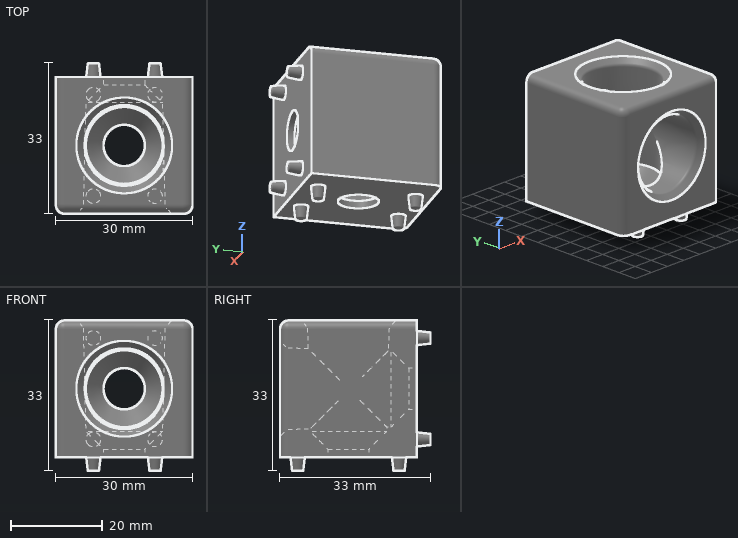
import cadquery as cq
import math

side = 30.0
half = side / 2
edge_radius = 2.0

mouth_radius = 10.5
bore_radius = 8.95
lip_radius = 1.0
throat_radius = 8.4
throat_reach = 9.35
outlet_radius = 4.5
countersink_angle = math.radians(45.5)
throat_angle = math.radians(45)

pin_length = 3.0
pin_base_radius = 1.6
pin_tip_radius = 1.25
pin_tip_rounding = 0.25
pin_half_pitch_across = 6.75
pin_half_pitch_along = 11.1


def make_body():
    """Cube rounded on the edges around the two mouth faces; the pin faces stay sharp."""
    body = cq.Workplane("XY").box(side, side, side)
    rounded = body.faces(">Z or <Y").edges("not(>Y or <Z)")
    return body.newObject(rounded.vals()).fillet(edge_radius)


def make_passage():
    """Passage cutter around Z: mouth on the top face, outlet on the bottom face."""
    bore_corner = half - (mouth_radius - bore_radius) / math.tan(countersink_angle)
    lip_tangent = lip_radius * math.tan(countersink_angle / 2)
    lip_bottom = bore_corner - lip_tangent
    lip_centre_radius = bore_radius + lip_radius

    def lip_point(angle):
        radius = lip_centre_radius - lip_radius * math.cos(angle)
        return radius, lip_bottom + lip_radius * math.sin(angle)

    throat_end = -throat_reach - (throat_radius - outlet_radius) / math.tan(throat_angle)
    profile = (
        cq.Workplane("XZ")
        .moveTo(0, half)
        .lineTo(mouth_radius, half)
        .lineTo(*lip_point(countersink_angle))
        .threePointArc(lip_point(countersink_angle / 2), lip_point(0))
        .lineTo(throat_radius, -throat_reach)
        .lineTo(outlet_radius, throat_end)
        .lineTo(outlet_radius, -half)
        .lineTo(0, -half)
        .close()
    )
    return profile.revolve(360, (0, 0, 0), (0, 1, 0))


def make_pins():
    """Four tapered pins below the bottom face, with rounded tips."""
    profile = (
        cq.Workplane("XZ")
        .lineTo(pin_base_radius, 0)
        .lineTo(pin_tip_radius, -pin_length)
        .lineTo(0, -pin_length)
        .close()
    )
    pin = profile.revolve(360, (0, 0, 0), (0, 1, 0)).faces("<Z").edges().fillet(pin_tip_rounding)
    pins = cq.Workplane("XY")
    for x in (-pin_half_pitch_across, pin_half_pitch_across):
        for y in (-pin_half_pitch_along, pin_half_pitch_along):
            pins = pins.add(pin.translate((x, y, -half)))
    return pins.combine()


def turn_to_front(shape):
    """Turn a shape about X so that its top faces -Y and its bottom faces +Y."""
    return shape.rotate((0, 0, 0), (1, 0, 0), 90)


passage = make_passage()
pins = make_pins()
result = make_body().union(pins).union(turn_to_front(pins))
result = result.cut(passage).cut(turn_to_front(passage))